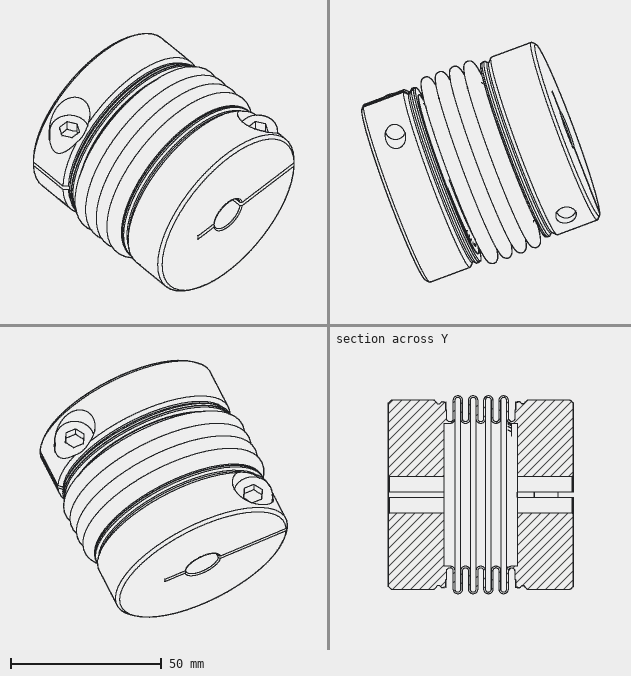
import cadquery as cq
import math

coupling_length = 61.45
half_length = coupling_length / 2
hub_diameter = 63.0
hub_radius = hub_diameter / 2

face_chamfer = 1.05
rim_end = 15.5
groove_outer_end = 14.25
groove_inner_end = 13.65
collar_start = 12.9
ring_end = 11.55
seat_end = 11.35
hub_inner_face = 12.15
groove_radius = 30.2
collar_radius = 62.0 / 2
ring_radius = 30.75
seat_radius = 28.2

bore_diameter = 12.0
bore_chamfer = (13.0 - bore_diameter) / 2
slot_width = 1.8
slot_depth_past_axis = 13.9

fold_count = 4
crest_span = 15.2
fold_pitch = crest_span / (fold_count - 1)
wall_thickness = 0.7
crest_radius = 33.0
root_radius = 24.35
mid_bend_radius = fold_pitch / 4
large_bend = mid_bend_radius + wall_thickness / 2
small_bend = mid_bend_radius - wall_thickness / 2
root_bend_centre = root_radius + small_bend
crest_bend_centre = crest_radius - large_bend
root_inner_radius = root_radius - wall_thickness
last_root = fold_count * fold_pitch / 2
seat_fillet = seat_end - last_root

screw_x = -21.7
screw_y = -22.5
head_diameter = 13.0
head_height = 8.0
head_top = 17.6
head_seat = head_top - head_height
head_fillet = 0.8
shank_diameter = 8.0
shank_length = 20.0
shank_tip = head_seat - shank_length
socket_across_flats = 6.0
socket_across_corners = socket_across_flats / math.cos(math.pi / 6)
socket_depth = 3.95
socket_cone_slope = 30
socket_cone_depth = socket_across_corners / 2 * math.tan(math.radians(socket_cone_slope))
counterbore_diameter = 13.5
clearance_diameter = 8.6
tapping_diameter = 6.8


def half_turn(body):
    """Copy of a body turned half a revolution about Z, onto the other hub."""
    return body.rotate((0, 0, 0), (0, 0, 1), 180)


def vertical_cylinder(diameter, bottom, top):
    """Cylinder on the clamp screw's axis."""
    return (
        cq.Workplane("XY", origin=(screw_x, screw_y, bottom))
        .circle(diameter / 2)
        .extrude(top - bottom)
    )


def turned_hub():
    """Hub at -X, with its groove, collar, ring and rounded bellows seat."""
    fillet_top = root_radius + seat_fillet
    fillet_inset = seat_fillet * (1 - math.sqrt(0.5))
    return (
        cq.Workplane("XY")
        .moveTo(-half_length, 0)
        .lineTo(-half_length, hub_radius - face_chamfer)
        .lineTo(-half_length + face_chamfer, hub_radius)
        .lineTo(-rim_end, hub_radius)
        .lineTo(-groove_outer_end, groove_radius)
        .lineTo(-groove_inner_end, groove_radius)
        .lineTo(-collar_start, collar_radius)
        .lineTo(-hub_inner_face, collar_radius)
        .lineTo(-hub_inner_face, ring_radius)
        .lineTo(-ring_end, ring_radius)
        .lineTo(-ring_end, seat_radius)
        .lineTo(-seat_end, seat_radius)
        .lineTo(-seat_end, fillet_top)
        .threePointArc((-seat_end + fillet_inset, root_radius + fillet_inset), (-last_root, root_radius))
        .lineTo(-last_root, root_inner_radius)
        .lineTo(-hub_inner_face, root_inner_radius)
        .lineTo(-hub_inner_face, 0)
        .close()
        .revolve(360, (0, 0, 0), (1, 0, 0))
    )


def hub_bore():
    """Bore with a chamfered mouth at the outer face."""
    bore_radius = bore_diameter / 2
    return (
        cq.Workplane("XY")
        .moveTo(-half_length, 0)
        .lineTo(-half_length, bore_radius + bore_chamfer)
        .lineTo(-half_length + bore_chamfer, bore_radius)
        .lineTo(-hub_inner_face, bore_radius)
        .lineTo(-hub_inner_face, 0)
        .close()
        .revolve(360, (0, 0, 0), (1, 0, 0))
    )


def clamping_slot():
    """Slot from the -Y side of the hub to a little past the bore."""
    return cq.Workplane("XY").box(
        half_length - hub_inner_face,
        hub_radius + slot_depth_past_axis,
        slot_width,
        centered=(False, False, True),
    ).translate((-half_length, -hub_radius, 0))


def screw_hole():
    """Counterbore, clearance hole, threaded length and open tapping hole."""
    counterbore = vertical_cylinder(counterbore_diameter, head_seat, hub_radius)
    clearance = vertical_cylinder(clearance_diameter, 0, head_seat)
    thread = vertical_cylinder(shank_diameter, shank_tip, 0)
    tapping = vertical_cylinder(tapping_diameter, -hub_radius, shank_tip)
    return counterbore.union(clearance).union(thread).union(tapping)


def bellows_fill(root_bend, crest_bend):
    """Solid of revolution bounded by one surface of the folded bellows wall."""
    root = root_bend_centre - root_bend
    crest = crest_bend_centre + crest_bend
    fold_corner = math.sqrt(0.5) * root_bend
    outline = cq.Workplane("XY").moveTo(-last_root, 0).lineTo(-last_root, root)
    for fold in range(fold_count):
        left_root = -last_root + fold * fold_pitch
        middle = left_root + fold_pitch / 2
        right_root = left_root + fold_pitch
        outline = (
            outline
            .threePointArc(
                (left_root + fold_corner, root_bend_centre - fold_corner),
                (left_root + root_bend, root_bend_centre),
            )
            .lineTo(middle - crest_bend, crest_bend_centre)
            .threePointArc((middle, crest), (middle + crest_bend, crest_bend_centre))
            .lineTo(right_root - root_bend, root_bend_centre)
            .threePointArc(
                (right_root - fold_corner, root_bend_centre - fold_corner),
                (right_root, root),
            )
        )
    return outline.lineTo(last_root, 0).close().revolve(360, (0, 0, 0), (1, 0, 0))


def bellows():
    """Thin folded tube that joins the two hubs."""
    return bellows_fill(small_bend, large_bend).cut(bellows_fill(large_bend, small_bend))


def bellows_coupling():
    """Both hubs and the bellows as one body."""
    hub = turned_hub().cut(hub_bore()).cut(clamping_slot()).cut(screw_hole())
    return hub.union(half_turn(hub)).union(bellows())


def hex_socket():
    """Hexagonal socket with a conical floor and two corners along Y."""
    rim = head_top - socket_depth
    hexagon = (
        cq.Workplane("XY", origin=(screw_x, screw_y, rim - socket_cone_depth))
        .transformed(rotate=(0, 0, 90))
        .polygon(6, socket_across_corners)
        .extrude(socket_depth + socket_cone_depth)
    )
    drill = (
        cq.Workplane("XZ", origin=(screw_x, screw_y, 0))
        .moveTo(0, rim - socket_cone_depth)
        .lineTo(socket_across_corners / 2, rim)
        .lineTo(socket_across_corners / 2, head_top)
        .lineTo(0, head_top)
        .close()
        .revolve(360, (0, 0, 0), (0, 1, 0))
    )
    return hexagon.intersect(drill)


def clamp_screw():
    """Socket-head clamp screw of the -X hub."""
    head = vertical_cylinder(head_diameter, head_seat, head_top).faces(">Z").edges().fillet(head_fillet)
    shank = vertical_cylinder(shank_diameter, shank_tip, head_seat)
    return head.union(shank).cut(hex_socket())


coupling = bellows_coupling()
screw = clamp_screw()
screws = [body.val() for body in (screw, half_turn(screw))]

result = cq.Compound.makeCompound([coupling.val(), *screws])